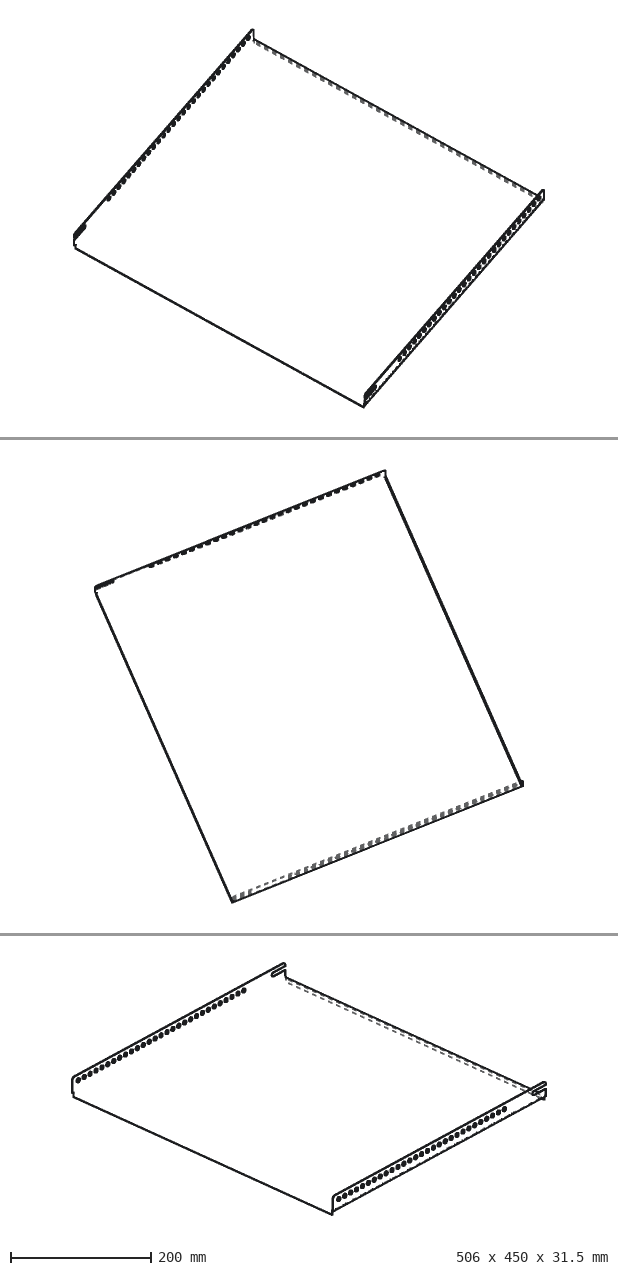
import cadquery as cq

width = 506.0
depth = 450.0
height = 31.5
sheet = 1.5
bend_radius = 1.0

wall_height = 25.5
wall_corner_radius = 5.0

lip_length = width - 2 * (sheet + bend_radius)

hole_diameter = 6.5
hole_count = 29
hole_row_span = 349.5
hole_pitch = hole_row_span / (hole_count - 1)
first_hole_inset = 12.5
hole_drop = 9.5
slot_depth = 28.5

front_y = -depth / 2
back_y = depth / 2
top_z = height / 2
lip_bottom_z = -height / 2
floor_bottom_z = top_z - wall_height
floor_top_z = floor_bottom_z + sheet
hole_z = top_z - hole_drop


def rounded_block(length_x, length_y, bottom_z, top, bend_edges):
    """Block between two Z levels with the selected bend edges rounded."""
    return (
        cq.Workplane("XY", origin=(0, 0, bottom_z))
        .rect(length_x, length_y)
        .extrude(top - bottom_z)
        .edges(bend_edges)
        .fillet(bend_radius)
    )


def make_channel():
    """Floor with both side walls, running along Y."""
    bend_edges = "|Y and <Z"
    outer = rounded_block(width, depth, floor_bottom_z, top_z, bend_edges)
    outer = outer.edges("|X and >Z").fillet(wall_corner_radius)
    inner = rounded_block(width - 2 * sheet, depth, floor_top_z, top_z, bend_edges)
    return outer.cut(inner)


def make_floor_end_trims():
    """Clearances at the front and back of the floor, where the lip bends take over."""
    return (
        cq.Workplane("XY", origin=(0, 0, floor_bottom_z))
        .pushPoints([(0, front_y), (0, back_y)])
        .rect(lip_length, 2 * bend_radius)
        .extrude(sheet)
    )


def make_lip_band():
    """Floor with both lips bent down, running along X."""
    bend_edges = "|X and >Z"
    outer = rounded_block(lip_length, depth, lip_bottom_z, floor_top_z, bend_edges)
    inner = rounded_block(lip_length, depth - 2 * sheet, lip_bottom_z, floor_bottom_z, bend_edges)
    return outer.cut(inner)


def make_wall_openings():
    """Cutters through both walls: the hole row and the open front slot."""
    first_hole_y = back_y - first_hole_inset
    centres = [(first_hole_y - i * hole_pitch, hole_z) for i in range(hole_count)]
    holes = (
        cq.Workplane("YZ")
        .pushPoints(centres)
        .circle(hole_diameter / 2)
        .extrude(width / 2, both=True)
    )
    slot = (
        cq.Workplane("YZ")
        .center(front_y, hole_z)
        .slot2D(2 * slot_depth, hole_diameter)
        .extrude(width / 2, both=True)
    )
    return holes.union(slot)


channel = make_channel().cut(make_floor_end_trims())
result = channel.union(make_lip_band()).cut(make_wall_openings())